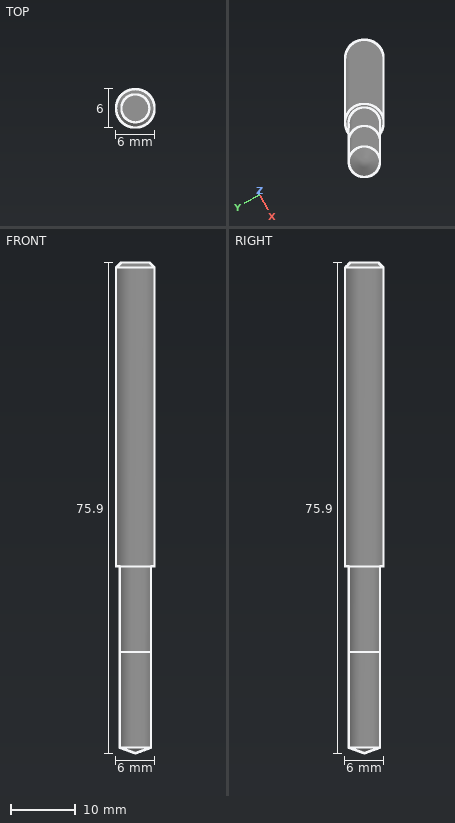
import cadquery as cq
import math

total_length = 75.9
shank_diameter = 6.0
neck_diameter = 4.85

shoulder_height = 28.9
joint_height = 15.6

shank_chamfer = 0.8
point_angle = 140.0

neck_radius = neck_diameter / 2
point_height = neck_radius / math.tan(math.radians(point_angle / 2))


def make_holder():
    """Chamfered shank with the reduced neck below its shoulder."""
    shank = (
        cq.Workplane("XY", origin=(0, 0, shoulder_height))
        .circle(shank_diameter / 2)
        .extrude(total_length - shoulder_height)
        .faces(">Z")
        .chamfer(shank_chamfer)
    )
    neck = (
        cq.Workplane("XY", origin=(0, 0, joint_height))
        .circle(neck_radius)
        .extrude(shoulder_height - joint_height)
    )
    return shank.union(neck)


def make_cutting_tip():
    """Cylindrical tip with a conical point, butted against the neck."""
    return (
        cq.Workplane("XZ")
        .polyline([
            (0, 0),
            (neck_radius, point_height),
            (neck_radius, joint_height),
            (0, joint_height),
        ])
        .close()
        .revolve(360, (0, 0, 0), (0, 1, 0))
    )


holder = make_holder().solids()
cutting_tip = make_cutting_tip()

result = cq.Compound.makeCompound([holder.val(), cutting_tip.val()])